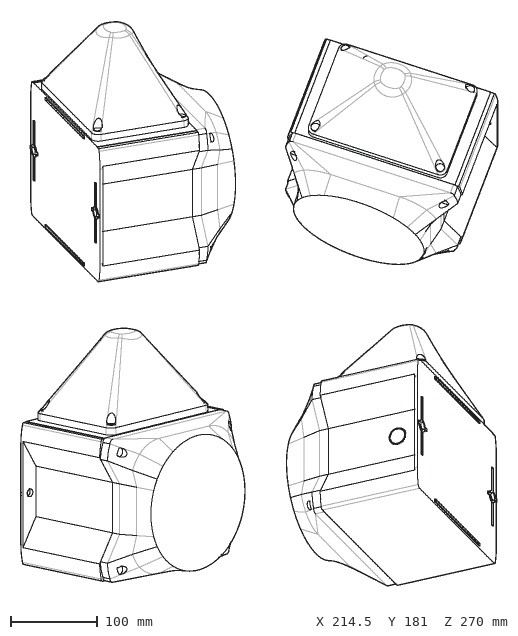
import cadquery as cq
import math


HOUSING_WIDTH = 214.5
HOUSING_HEIGHT = 169.5
HOUSING_DEPTH = 124.2
HOUSING_CORNER = (2.7, 3.5, 3.2)
SHOULDER_X = 98.3
SHOULDER_DROP = 0.5
FLANGE_THICKNESS = 3.5
TOP = HOUSING_HEIGHT / 2

SIDE_HALF_STRAIGHT = 60.0

RECESS_DEPTH = 22.1
RECESS_OUTER_HALF = 63.2
RECESS_INNER_HALF = 30.0

MOUNT_X = 95.0
MOUNT_HOLE_RADIUS = 4.5
MOUNT_RING_RADIUS = 7.3
RIB_HEIGHT = 1.0
RIB_WIDTH = 3.2
RIB_HALF_LENGTH = 37.8
CROSS_HALF_LENGTH = 11.5
BAR_LENGTH = 120.0
BAR_Z = 80.5

PLUG_RADIUS = 9.5
PLUG_SEAT_RADIUS = 10.5
PLUG_THICKNESS = 2.7
PLUG_Y = 36.0

COVER_WIDTH = 211.1
COVER_HEIGHT = 170.0
COVER_CORNER = (4.3, 4.5, 4.9)
COVER_RIM = 11.0
HORN_RADIUS = 80.2
HORN_LENGTH = 44.8
HORN_ANGLES = (20, 30, 42, 58)
THROAT_SHARE = 0.5
THROAT_CORNER_RADIUS = 48.5
THROAT_ANGLES = (22, 47, 90)
THROAT_TOP_HALF = 42.0
HORN_SCREW_X = 92.5
HORN_SCREW_Z = 70.0
HORN_SCREW_FLOOR = 7.0

LENS_LENGTH = 169.5
LENS_WIDTH = 120.0
LENS_Y = 61.8
LENS_RIM = 8.5
LENS_HEIGHT = 100.2
LENS_CORNER_RADIUS = 8.0
LENS_TIP_RADIUS = 19.0
LENS_TIP_ROUNDING = 9.7
LENS_TIP_ANGLES = (28, 40)
LENS_SCREW_X = 76.5
LENS_SCREW_Y = 52.0
LENS_SCREW_FLOOR = 11.0

SCREW_RADIUS = 5.0


def on_end_plane(y):
    """Placement of outline points (x, z) on a plane facing along Y."""
    return lambda point: cq.Vector(point[0], y, point[1])


def mirrored_wire(place, quarter_corners, quarter_bulges, right_bulge=None, top_bulge=None):
    """Closed wire through the corners of the upper right quarter and their mirror images.

    The bulges are the midpoints of the arcs between corners, or None for a straight edge.
    The right and top bulges belong to the edges that cross the mirror lines.
    """
    corners = []
    bulges = []
    for side_x, side_z in ((1, 1), (-1, 1), (-1, -1), (1, -1)):
        def mirrored(point):
            return None if point is None else (side_x * point[0], side_z * point[1])

        forward = side_x * side_z > 0
        step = 1 if forward else -1
        corners += [mirrored(point) for point in quarter_corners[::step]]
        bulges += [mirrored(point) for point in quarter_bulges[::step]]
        bulges.append(mirrored(top_bulge if forward else right_bulge))

    edges = []
    for start, bulge, end in zip(corners, bulges, corners[1:] + corners[:1]):
        if bulge is None:
            edges.append(cq.Edge.makeLine(place(start), place(end)))
        else:
            edges.append(cq.Edge.makeThreePointArc(place(start), place(bulge), place(end)))
    return cq.Wire.assembleEdges(edges)


def arc_sag(run, drop, along):
    """Drop at a distance along a round arc that starts level and falls by drop over run."""
    radius = (run**2 + drop**2) / (2 * drop)
    return radius - math.sqrt(radius**2 - along**2)


def rim_quarter(half_width, half_height, corner_shape):
    """Corners and arc midpoints of a rim outline: curved side, then rounded corner."""
    lean, run, drop = corner_shape
    side_end = (half_width, SIDE_HALF_STRAIGHT)
    corner = (half_width - lean, half_height - drop)
    top_end = (corner[0] - run, half_height)

    side_rise = corner[1] - side_end[1]
    side_sag = arc_sag(side_rise, lean, side_rise / 2)
    side_bulge = (half_width - side_sag, side_end[1] + side_rise / 2)
    corner_sag = arc_sag(run, drop, run / 2)
    corner_bulge = (top_end[0] + run / 2, half_height - corner_sag)
    return [side_end, corner, top_end], [side_bulge, corner_bulge]


def rim_block(width, height, corner_shape, y_start, depth):
    """Slab with gently curved sides and rounded corners, extruded toward +Y."""
    wire = mirrored_wire(on_end_plane(y_start), *rim_quarter(width / 2, height / 2, corner_shape))
    return cq.Workplane(cq.Solid.extrudeLinear(wire, [], cq.Vector(0, depth, 0)))


def side_recesses(y_start, depth):
    """Pair of trapezoidal prisms to be cut from the sides."""
    outer = HOUSING_WIDTH / 2
    inner = outer - RECESS_DEPTH
    clearance = 2.7
    recess = (
        cq.Workplane("XZ", origin=(0, y_start, 0))
        .polyline([
            (inner, -RECESS_INNER_HALF), (outer, -RECESS_OUTER_HALF),
            (outer + clearance, -RECESS_OUTER_HALF), (outer + clearance, RECESS_OUTER_HALF),
            (outer, RECESS_OUTER_HALF), (inner, RECESS_INNER_HALF),
        ])
        .close()
        .extrude(-depth)
    )
    return recess.union(recess.mirror("YZ"))


def mounting_ribs():
    """Raised bars along the top and bottom, and a ringed cross at each mounting hole."""
    def face(points):
        return cq.Workplane("XZ").pushPoints(points)

    mounts = [(-MOUNT_X, 0), (MOUNT_X, 0)]
    ribs = face([(0, -BAR_Z), (0, BAR_Z)]).rect(BAR_LENGTH, RIB_WIDTH).extrude(RIB_HEIGHT)
    ribs = ribs.union(face(mounts).rect(RIB_WIDTH, 2 * RIB_HALF_LENGTH).extrude(RIB_HEIGHT))
    ribs = ribs.union(face(mounts).rect(2 * CROSS_HALF_LENGTH, RIB_WIDTH).extrude(RIB_HEIGHT))
    return ribs.union(face(mounts).circle(MOUNT_RING_RADIUS).extrude(RIB_HEIGHT))


def plug_cylinder(radius):
    """Disc set into the flat floor of the -X recess."""
    recess_floor_x = -HOUSING_WIDTH / 2 + RECESS_DEPTH
    floor = cq.Workplane("YZ", origin=(recess_floor_x, PLUG_Y, 0))
    return floor.circle(radius).extrude(PLUG_THICKNESS)


def top_shoulders():
    """Strips to be cut from the housing top along both sides."""
    strip_width = HOUSING_WIDTH / 2 - SHOULDER_X
    strip = cq.Workplane("XY").box(strip_width, HOUSING_DEPTH, SHOULDER_DROP, centered=False)
    strip = strip.translate((SHOULDER_X, 0, TOP - SHOULDER_DROP))
    return strip.union(strip.mirror("YZ"))


def make_housing():
    body = rim_block(HOUSING_WIDTH, HOUSING_HEIGHT, HOUSING_CORNER, 0, HOUSING_DEPTH)
    body = body.cut(side_recesses(FLANGE_THICKNESS, HOUSING_DEPTH))
    body = body.cut(top_shoulders())
    body = body.union(mounting_ribs())
    holes = (
        cq.Workplane("XZ", origin=(0, -RIB_HEIGHT, 0))
        .pushPoints([(-MOUNT_X, 0), (MOUNT_X, 0)])
        .circle(MOUNT_HOLE_RADIUS)
        .extrude(-RIB_HEIGHT - FLANGE_THICKNESS)
    )
    return body.cut(holes).cut(plug_cylinder(PLUG_SEAT_RADIUS))


def circle_point(radius, angle):
    turn = math.radians(angle)
    return radius * math.cos(turn), radius * math.sin(turn)


def between(start, end, share):
    return tuple(a + share * (b - a) for a, b in zip(start, end))


def circle_quarter(radius, angles):
    """Points of a circle at the given angles and the midpoints of the arcs between them."""
    points = [circle_point(radius, angle) for angle in angles]
    bulges = [circle_point(radius, (a + b) / 2) for a, b in zip(angles, angles[1:])]
    return points, bulges, circle_point(radius, 0), circle_point(radius, 90)


def horn_flare(y_rim):
    """Flare from the recessed cover outline through a throat section to the round mouth."""
    rim_corners, rim_bulges = rim_quarter(COVER_WIDTH / 2, COVER_HEIGHT / 2, COVER_CORNER)
    slope = (RECESS_OUTER_HALF - RECESS_INNER_HALF) / RECESS_DEPTH
    side_step = (HOUSING_WIDTH - COVER_WIDTH) / 2
    recess_inner = (HOUSING_WIDTH / 2 - RECESS_DEPTH, RECESS_INNER_HALF)
    recess_outer = (COVER_WIDTH / 2, RECESS_OUTER_HALF - side_step * slope)
    base_corners = [recess_inner, recess_outer, *rim_corners[1:]]
    base = mirrored_wire(on_end_plane(y_rim), base_corners, [None, *rim_bulges])

    mouth_quarter = circle_quarter(HORN_RADIUS, HORN_ANGLES)
    mouth = mirrored_wire(on_end_plane(y_rim + HORN_LENGTH), *mouth_quarter)

    mouth_corners = mouth_quarter[0]
    throat_x = THROAT_TOP_HALF
    throat_z = HORN_RADIUS - THROAT_CORNER_RADIUS
    arc_points, arc_bulges, *_ = circle_quarter(THROAT_CORNER_RADIUS, THROAT_ANGLES)
    throat_corners = [between(recess_inner, mouth_corners[0], THROAT_SHARE)]
    throat_corners += [(throat_x + x, throat_z + z) for x, z in arc_points]
    throat_bulges = [None] + [(throat_x + x, throat_z + z) for x, z in arc_bulges]
    throat_plane = on_end_plane(y_rim + THROAT_SHARE * HORN_LENGTH)
    throat = mirrored_wire(throat_plane, throat_corners, throat_bulges)

    rear = cq.Solid.makeLoft([base, throat], True)
    front = cq.Solid.makeLoft([throat, mouth], True)
    return cq.Workplane(rear).union(cq.Workplane(front))


def make_cover():
    y_rim = HOUSING_DEPTH + COVER_RIM
    rim = rim_block(COVER_WIDTH, COVER_HEIGHT, COVER_CORNER, HOUSING_DEPTH, COVER_RIM)
    rim = rim.cut(side_recesses(HOUSING_DEPTH, COVER_RIM))
    screws = (
        cq.Workplane("XZ", origin=(0, y_rim + HORN_SCREW_FLOOR, 0))
        .rect(2 * HORN_SCREW_X, 2 * HORN_SCREW_Z, forConstruction=True)
        .vertices()
        .circle(SCREW_RADIUS)
        .extrude(-HORN_LENGTH)
    )
    return rim.union(horn_flare(y_rim)).cut(screws)


def on_lens_plane(z):
    """Placement of outline points around the lens axis at height z."""
    return lambda point: cq.Vector(point[0], LENS_Y + point[1], z)


def make_lens():
    half_length = LENS_LENGTH / 2
    half_width = LENS_WIDTH / 2
    radius = LENS_CORNER_RADIUS
    diagonal = radius * math.sqrt(0.5)
    corners = [(half_length, half_width - radius), (half_length - radius, half_width)]
    bulge = (half_length - radius + diagonal, half_width - radius + diagonal)

    foot = mirrored_wire(on_lens_plane(TOP), corners, [bulge])
    rim = cq.Solid.extrudeLinear(foot, [], cq.Vector(0, 0, LENS_RIM))
    shoulder = mirrored_wire(on_lens_plane(TOP + LENS_RIM), corners, [bulge])
    tip_quarter = circle_quarter(LENS_TIP_RADIUS, LENS_TIP_ANGLES)
    tip = mirrored_wire(on_lens_plane(TOP + LENS_HEIGHT), *tip_quarter)
    pyramid = cq.Workplane(cq.Solid.makeLoft([shoulder, tip], True))
    pyramid = pyramid.faces(">Z").edges().fillet(LENS_TIP_ROUNDING)

    screws = (
        cq.Workplane("XY", origin=(0, LENS_Y, TOP + LENS_SCREW_FLOOR))
        .rect(2 * LENS_SCREW_X, 2 * LENS_SCREW_Y, forConstruction=True)
        .vertices()
        .circle(SCREW_RADIUS)
        .extrude(LENS_HEIGHT)
    )
    return cq.Workplane(rim).union(pyramid).cut(screws)


housing = make_housing()
cover = make_cover()
lens = make_lens()
plug = plug_cylinder(PLUG_RADIUS)

bodies = [body.solids().val() for body in (housing, cover, lens, plug)]
result = cq.Compound.makeCompound(bodies)